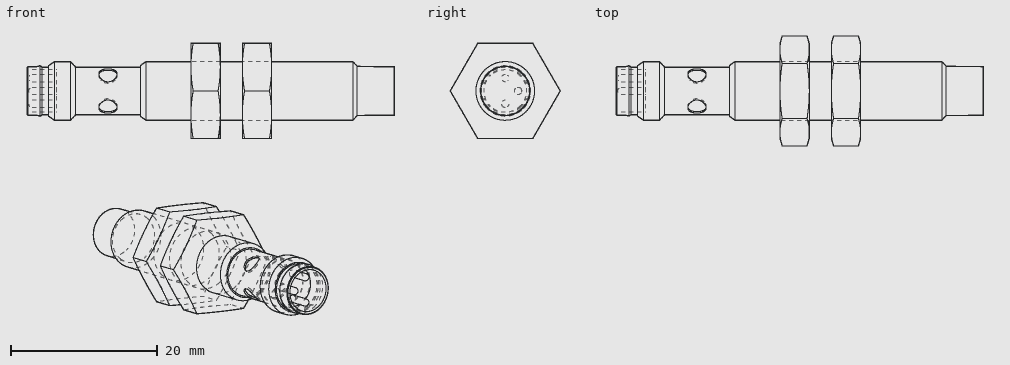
import cadquery as cq
import math

TOTAL_LENGTH = 49.95

BARREL_DIA = 8.0
COLLAR_START = 2.9
COLLAR_CROWN_START = 3.7
COLLAR_CROWN_END = 5.9
COLLAR_END = 6.55
BARREL_START = 15.4
BARREL_CROWN_START = 16.15
BARREL_CROWN_END = 44.3
BARREL_END = 44.9

NECK_DIA = 6.5
TIP_DIA = 6.65
TAIL_ROOT_DIA = 6.75
SHOULDER_DIA = 6.9
LIP_RAMP_START = 1.3
LIP_CREST_X = 1.75
LIP_END = 2.05
RIM_CHAMFER = 0.1

SOCKET_DIA = 5.8
SOCKET_DEPTH = 4.0
PIN_DIA = 1.0
PIN_OFFSET = 1.75
PIN_TIP_X = 0.2
PIN_ANGLES = (0, 90, 270)

WINDOW_DIA = 2.5
WINDOW_X = 11.0
WINDOW_FLOOR_RADIUS = 3.0
WINDOW_COUNT = 4
WINDOW_FIRST_ANGLE = 45.0

NUT_ACROSS_FLATS = 13.0
NUT_THICKNESS = 4.0
NUT_STARTS = (22.3, 29.3)
NUT_CHAMFER_LENGTH = 0.3


def cylinder_along_x(diameter, start, end):
    return cq.Workplane("YZ", origin=(start, 0, 0)).circle(diameter / 2).extrude(end - start)


def make_shell():
    """Turned outside shape of the housing."""
    profile = [
        (0, 0),
        (0, TIP_DIA / 2 - RIM_CHAMFER),
        (RIM_CHAMFER, TIP_DIA / 2),
        (LIP_RAMP_START, TIP_DIA / 2),
        (LIP_CREST_X, SHOULDER_DIA / 2),
        (LIP_END, NECK_DIA / 2),
        (COLLAR_START, NECK_DIA / 2),
        (COLLAR_START, SHOULDER_DIA / 2),
        (COLLAR_CROWN_START, BARREL_DIA / 2),
        (COLLAR_CROWN_END, BARREL_DIA / 2),
        (COLLAR_END, TIP_DIA / 2),
        (COLLAR_END, NECK_DIA / 2),
        (BARREL_START, NECK_DIA / 2),
        (BARREL_START, SHOULDER_DIA / 2),
        (BARREL_CROWN_START, BARREL_DIA / 2),
        (BARREL_CROWN_END, BARREL_DIA / 2),
        (BARREL_END, TAIL_ROOT_DIA / 2),
        (TOTAL_LENGTH, TIP_DIA / 2),
        (TOTAL_LENGTH, 0),
    ]
    return cq.Workplane("XY").polyline(profile).close().revolve(360, (0, 0, 0), (1, 0, 0))


def make_pin(angle):
    """Contact pin with a hemispherical tip, rooted in the socket floor."""
    radius = PIN_DIA / 2
    shank = cylinder_along_x(PIN_DIA, PIN_TIP_X + radius, SOCKET_DEPTH + radius)
    tip = cq.Workplane("XY").sphere(radius).translate((PIN_TIP_X + radius, 0, 0))
    pin = shank.union(tip).translate((0, PIN_OFFSET, 0))
    return pin.rotate((0, 0, 0), (1, 0, 0), angle)


def make_window_cutter(index):
    angle = WINDOW_FIRST_ANGLE + index * 360 / WINDOW_COUNT
    cutter = (
        cq.Workplane("XY", origin=(WINDOW_X, 0, 0))
        .circle(WINDOW_DIA / 2)
        .extrude(NECK_DIA)
    )
    core = cylinder_along_x(2 * WINDOW_FLOOR_RADIUS, 0, TOTAL_LENGTH)
    return cutter.cut(core).rotate((0, 0, 0), (1, 0, 0), angle)


def make_housing():
    housing = make_shell().cut(cylinder_along_x(SOCKET_DIA, 0, SOCKET_DEPTH))
    for angle in PIN_ANGLES:
        housing = housing.union(make_pin(angle))
    for index in range(WINDOW_COUNT):
        housing = housing.cut(make_window_cutter(index))
    return housing


def make_nut(start):
    """Hexagon nut with corners on +Y and -Y, chamfered on both faces."""
    across_corners = NUT_ACROSS_FLATS / math.cos(math.pi / 6)
    hexagon = cq.Workplane("YZ").polygon(6, across_corners).extrude(NUT_THICKNESS)
    envelope_profile = [
        (0, 0),
        (0, NUT_ACROSS_FLATS / 2),
        (NUT_CHAMFER_LENGTH, across_corners / 2),
        (NUT_THICKNESS - NUT_CHAMFER_LENGTH, across_corners / 2),
        (NUT_THICKNESS, NUT_ACROSS_FLATS / 2),
        (NUT_THICKNESS, 0),
    ]
    envelope = cq.Workplane("XY").polyline(envelope_profile).close().revolve(360, (0, 0, 0), (1, 0, 0))
    bore = cylinder_along_x(BARREL_DIA, 0, NUT_THICKNESS)
    return hexagon.intersect(envelope).cut(bore).translate((start, 0, 0))


housing = make_housing()
nuts = [make_nut(start) for start in NUT_STARTS]

result = cq.Compound.makeCompound([housing.val(), *[nut.val() for nut in nuts]])